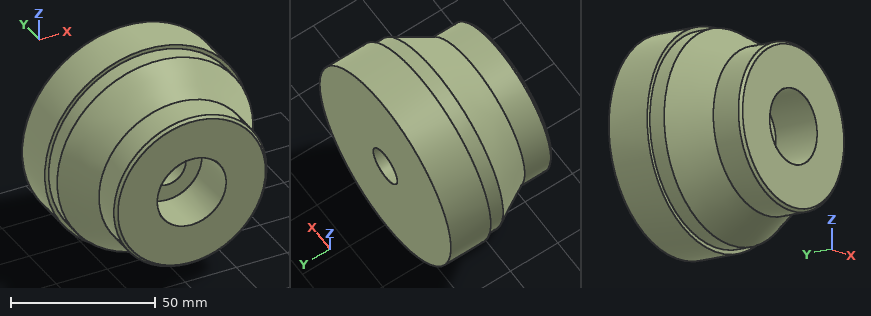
import cadquery as cq

length = 50.0
flange_diameter = 80.0
flange_length = 16.8
shoulder_diameter = 77.0
shoulder_length = 6.2
neck_diameter = 60.0
neck_length = 12.0
neck_chamfer = 1.0
counterbore_diameter = 27.0
through_hole_diameter = 14.6
counterbore_depth = 18.0

flange_start = length - flange_length
shoulder_start = flange_start - shoulder_length

body = (
    cq.Workplane("XY")
    .moveTo(0, 0)
    .lineTo(neck_diameter / 2 - neck_chamfer, 0)
    .lineTo(neck_diameter / 2, neck_chamfer)
    .lineTo(neck_diameter / 2, neck_length)
    .lineTo(shoulder_diameter / 2, shoulder_start)
    .lineTo(shoulder_diameter / 2, flange_start)
    .lineTo(flange_diameter / 2, flange_start)
    .lineTo(flange_diameter / 2, length)
    .lineTo(0, length)
    .close()
    .revolve(360, (0, 0, 0), (0, 1, 0))
)


def axial_bore(diameter, depth):
    """Cylinder running from the neck face in the +Y direction."""
    return cq.Workplane("XZ").circle(diameter / 2).extrude(-depth)


result = (
    body
    .cut(axial_bore(counterbore_diameter, counterbore_depth))
    .cut(axial_bore(through_hole_diameter, length))
)